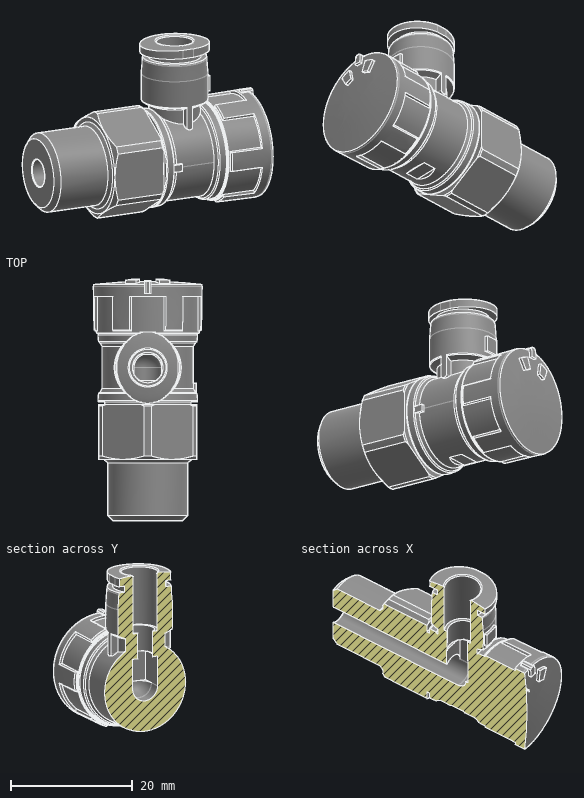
import cadquery as cq
import math


STUD_END_Y = -25.13
STUD_RADIUS = 13.16 / 2
STUD_CHAMFER = 0.87
HEX_SIDES = 6
HEX_FRONT_Y = -15.09
HEX_BACK_Y = -6.09
HEX_ACROSS_FLATS = 16.1
HEX_CORNER_RADIUS = 8.96
HEX_FRONT_FACE_RADIUS = 8.0
HEX_FRONT_CHAMFER_LENGTH = 0.58
HEX_BACK_CHAMFER = 0.22
STUD_ROOT_RADIUS = 7.2
STUD_ROOT_LENGTH = 0.54

NECK_RADIUS = 7.1
BODY_RADIUS = 7.5
BODY_HALF_LENGTH = 3.45
FLANGE_RADIUS = 8.2
FLANGE_EDGE_RADIUS = 8.1
FLANGE_START = 4.25
FLANGE_SHOULDER = 4.05
FLANGE_SHOULDER_RADIUS = 7.85
FLANGE_BREAK = 0.08
FLANGE_BREAK_LENGTH = 0.2
FRONT_FLANGE_END_Y = -5.63
BACK_FLANGE_END_Y = 5.57
RELIEF_FLOOR_Z = -7.2
RELIEF_FLOOR_HALF = 1.2
RELIEF_MOUTH_HALF = 1.65

SKIRT_RADIUS = 16.9 / 2
SKIRT_CHAMFER = 0.12
RIM_RADIUS = 17.89 / 2
RIM_START_Y = 11.69
RIM_BREAK_Y = 13.28
RIM_END_Y = 13.64
RIM_END_RADIUS = 8.87
DOME_TOP_Y = 14.15
GRIP_COUNT = 6
GRIP_TOP_WIDTH = 3.2
GRIP_TOP_X = 8.72
GRIP_FOOT_WIDTH = 3.44
GRIP_FOOT_X = 8.27
GRIP_END_RADIUS = 8.83
GRIP_END_Y = 6.17
GRIP_FOOT_Y = 5.97
GRIP_FOOT_RADIUS = 8.55

POINTER_WIDTH = 1.12
POINTER_CHAMFER = 0.26
POINTER_TOP_Z = 9.33
POINTER_BOTTOM_Z = 7.5
POINTER_START_Y = 12.14
POINTER_TOP_Y = 14.13
POINTER_BOTTOM_Y = 14.3
MARK_INNER_RADIUS = 5.2
MARK_OUTER_RADIUS = 7.3
MARK_START_ANGLE = 15
MARK_END_ANGLE = 30
MARK_TOP_Y = 14.49

OUTLET_STEM_RADIUS = 4.25
OUTLET_STEM_TOP_Z = 8.69
SLEEVE_RADIUS = 11 / 2
SLEEVE_BOTTOM_Z = 9.25
SLEEVE_BREAK_Z = 9.42
SLEEVE_BREAK = 0.1
SLEEVE_TAPER_Z = 13.87
SLEEVE_SHOULDER_Z = 16.45
SLEEVE_SHOULDER_RADIUS = 5.32
SLEEVE_TOP_Z = 16.7
SLEEVE_TOP_RADIUS = 5.25
WEB_THICKNESS = 1.08
WEB_END_FILLET = 0.45
WEB_BOTTOM_Z = 5.5
PAD_WIDTH = 2.6
PAD_BOTTOM_Z = 10.28
PAD_TOP_Z = 12.9
PAD_REACH_Y = 5.87

COLLAR_NECK_RADIUS = 8.72 / 2
COLLAR_BOTTOM_Z = 17.65
COLLAR_EDGE_Z = 18.91
COLLAR_TOP_Z = 19.34
COLLAR_CROWN_RADIUS = 4.6
COLLAR_CROWN_Z = 19.17
COLLAR_SEMI_X = 5.07
COLLAR_SEMI_Y = 5.87
COLLAR_HALF_WIDTH = 5.0

LUG_INNER_X = 7.2
LUG_OUTER_X = 7.97
LUG_END_Y = -2.57
LUG_HALF_HEIGHT = 0.6

CUT_MARGIN = 1.0

FLOW_RADIUS = 4.5 / 2
FLOW_MOUTH_CHAMFER = 0.11
PASSAGE_HALF_Y = 2.13
SEAT_RADIUS = 5 / 2
SEAT_BOTTOM_Z = 5.0
TUBE_RADIUS = 6 / 2
TUBE_BOTTOM_Z = 9.4
TUBE_MOUTH_RADIUS = 3.2
TUBE_MOUTH_DEPTH = 0.2


def turned_about_y(points):
    """Revolve a closed (radius, y) outline about the main axis."""
    return cq.Workplane("XY").polyline(points).close().revolve(360, (0, 0), (0, 1))


def turned_about_z(points):
    """Revolve a closed (radius, z) outline about the outlet axis."""
    return cq.Workplane("XZ").polyline(points).close().revolve(360, (0, 0), (0, 1))


def box(x_range, y_range, z_range):
    """Box spanning the given low and high limits."""
    lows, highs = zip(x_range, y_range, z_range)
    size = [high - low for low, high in zip(lows, highs)]
    return cq.Workplane("XY").box(*size, centered=False).translate(lows)


def make_stud():
    return turned_about_y([
        (0, STUD_END_Y),
        (STUD_RADIUS - STUD_CHAMFER, STUD_END_Y),
        (STUD_RADIUS, STUD_END_Y + STUD_CHAMFER),
        (STUD_RADIUS, HEX_FRONT_Y - STUD_ROOT_LENGTH),
        (STUD_ROOT_RADIUS, HEX_FRONT_Y),
        (0, HEX_FRONT_Y),
    ])


def make_hexagon():
    """Hexagon with flats facing +X and -X, its corners turned down and both ends chamfered."""
    length = HEX_BACK_Y - HEX_FRONT_Y
    across_corners = HEX_ACROSS_FLATS / math.cos(math.pi / HEX_SIDES)
    prism = (
        cq.Workplane("XZ", origin=(0, HEX_BACK_Y, 0))
        .polygon(HEX_SIDES, across_corners)
        .extrude(length)
        .rotate((0, 0, 0), (0, 1, 0), 180 / HEX_SIDES)
    )
    envelope = turned_about_y([
        (0, HEX_FRONT_Y),
        (HEX_FRONT_FACE_RADIUS, HEX_FRONT_Y),
        (HEX_CORNER_RADIUS, HEX_FRONT_Y + HEX_FRONT_CHAMFER_LENGTH),
        (HEX_CORNER_RADIUS, HEX_BACK_Y - HEX_BACK_CHAMFER),
        (HEX_CORNER_RADIUS - HEX_BACK_CHAMFER, HEX_BACK_Y),
        (0, HEX_BACK_Y),
    ])
    return prism.intersect(envelope)


def flange_rise(side):
    """Points climbing from the waist to a flange; side is -1 for the front, +1 for the back."""
    return [
        (BODY_RADIUS, side * BODY_HALF_LENGTH),
        (FLANGE_SHOULDER_RADIUS, side * FLANGE_SHOULDER),
        (FLANGE_EDGE_RADIUS, side * FLANGE_START),
    ]


def make_body():
    body = turned_about_y(
        [
            (0, HEX_BACK_Y),
            (NECK_RADIUS, HEX_BACK_Y),
            (NECK_RADIUS, FRONT_FLANGE_END_Y),
            (FLANGE_RADIUS - FLANGE_BREAK, FRONT_FLANGE_END_Y),
            (FLANGE_RADIUS, FRONT_FLANGE_END_Y + FLANGE_BREAK_LENGTH),
        ]
        + flange_rise(-1)[::-1]
        + flange_rise(1)
        + [
            (FLANGE_RADIUS, BACK_FLANGE_END_Y - FLANGE_BREAK_LENGTH),
            (FLANGE_RADIUS - FLANGE_BREAK, BACK_FLANGE_END_Y),
            (0, BACK_FLANGE_END_Y),
        ]
    )
    slope = (RELIEF_MOUTH_HALF - RELIEF_FLOOR_HALF) / (BODY_RADIUS + RELIEF_FLOOR_Z)
    cut_bottom_z = -FLANGE_RADIUS
    cut_bottom_half = RELIEF_FLOOR_HALF + slope * (RELIEF_FLOOR_Z - cut_bottom_z)
    relief = (
        cq.Workplane("YZ")
        .polyline([
            (-RELIEF_FLOOR_HALF, RELIEF_FLOOR_Z),
            (RELIEF_FLOOR_HALF, RELIEF_FLOOR_Z),
            (cut_bottom_half, cut_bottom_z),
            (-cut_bottom_half, cut_bottom_z),
        ])
        .close()
        .extrude(BODY_RADIUS, both=True)
    )
    return body.cut(relief)


def make_lug():
    return box(
        (LUG_INNER_X, LUG_OUTER_X),
        (-FLANGE_START, LUG_END_Y),
        (-LUG_HALF_HEIGHT, LUG_HALF_HEIGHT),
    )


def dome_drop(radius):
    """Fall of the spherical dome from its crown to the given distance from the axis."""
    sagitta = DOME_TOP_Y - RIM_END_Y
    sphere_radius = (RIM_END_RADIUS ** 2 + sagitta ** 2) / (2 * sagitta)
    return sphere_radius - math.sqrt(sphere_radius ** 2 - radius ** 2)


def make_cap_shell():
    """Solid of revolution touching the grips, the rim and the dome; rim and grips share one cone."""
    middle_radius = RIM_END_RADIUS / 2
    return (
        cq.Workplane("XY")
        .moveTo(0, BACK_FLANGE_END_Y)
        .lineTo(SKIRT_RADIUS - SKIRT_CHAMFER, BACK_FLANGE_END_Y)
        .lineTo(SKIRT_RADIUS, BACK_FLANGE_END_Y + SKIRT_CHAMFER)
        .lineTo(SKIRT_RADIUS, GRIP_FOOT_Y)
        .lineTo(GRIP_FOOT_RADIUS, GRIP_FOOT_Y)
        .lineTo(GRIP_END_RADIUS, GRIP_END_Y)
        .lineTo(RIM_RADIUS, RIM_BREAK_Y)
        .lineTo(RIM_END_RADIUS, RIM_END_Y)
        .threePointArc((middle_radius, DOME_TOP_Y - dome_drop(middle_radius)), (0, DOME_TOP_Y))
        .close()
        .revolve(360, (0, 0), (0, 1))
    )


def make_windows():
    """Shallow recesses that leave six drafted grips standing on the cap skirt."""
    reach = RIM_RADIUS + CUT_MARGIN
    length = RIM_START_Y - BACK_FLANGE_END_Y
    windows = (
        cq.Workplane("XZ", origin=(0, RIM_START_Y, 0))
        .circle(reach)
        .circle(SKIRT_RADIUS)
        .extrude(length)
    )
    top_half = GRIP_TOP_WIDTH / 2
    foot_half = GRIP_FOOT_WIDTH / 2
    grip = (
        cq.Workplane("XZ", origin=(0, RIM_START_Y, 0))
        .polyline([
            (0, -foot_half),
            (GRIP_FOOT_X, -foot_half),
            (GRIP_TOP_X, -top_half),
            (reach, -top_half),
            (reach, top_half),
            (GRIP_TOP_X, top_half),
            (GRIP_FOOT_X, foot_half),
            (0, foot_half),
        ])
        .close()
        .extrude(length)
    )
    for index in range(GRIP_COUNT):
        windows = windows.cut(grip.rotate((0, 0, 0), (0, 1, 0), index * 360 / GRIP_COUNT))
    return windows


def make_pointer():
    """Bar across the top of the cap rim with chamfered long edges."""
    half_width = POINTER_WIDTH / 2
    bar = (
        cq.Workplane("YZ")
        .polyline([
            (POINTER_START_Y, POINTER_BOTTOM_Z),
            (POINTER_START_Y, POINTER_TOP_Z),
            (POINTER_TOP_Y, POINTER_TOP_Z),
            (POINTER_BOTTOM_Y, POINTER_BOTTOM_Z),
        ])
        .close()
        .extrude(half_width, both=True)
    )
    return bar.edges("|Y and >Z").chamfer(POINTER_CHAMFER)


def make_marks():
    """Two raised ring sectors on the dome, one on each side of the pointer."""
    start = math.radians(MARK_START_ANGLE)
    end = math.radians(MARK_END_ANGLE)
    reach = 2 * MARK_OUTER_RADIUS
    sector = (
        cq.Workplane("XZ", origin=(0, MARK_TOP_Y, 0))
        .polyline([
            (0, 0),
            (reach * math.sin(start), reach * math.cos(start)),
            (reach * math.sin(end), reach * math.cos(end)),
        ])
        .close()
        .extrude(MARK_TOP_Y - RIM_START_Y)
    )
    outer_fall = dome_drop(MARK_OUTER_RADIUS) - dome_drop(MARK_INNER_RADIUS)
    ring = turned_about_y([
        (MARK_INNER_RADIUS, RIM_START_Y),
        (MARK_INNER_RADIUS, MARK_TOP_Y),
        (MARK_OUTER_RADIUS, MARK_TOP_Y - outer_fall),
        (MARK_OUTER_RADIUS, RIM_START_Y),
    ])
    mark = ring.intersect(sector)
    return mark.union(mark.mirror("YZ"))


def make_cap():
    cap = make_cap_shell().cut(make_windows())
    return cap.union(make_pointer()).union(make_marks())


def make_stem_undercut():
    """Ring removed below the sleeve to form the stem, leaving two webs with rounded lower ends."""
    ring = turned_about_z([
        (OUTLET_STEM_RADIUS, 0),
        (OUTLET_STEM_RADIUS, OUTLET_STEM_TOP_Z),
        (SLEEVE_RADIUS - SLEEVE_BREAK, SLEEVE_BOTTOM_Z),
        (SLEEVE_RADIUS, SLEEVE_BREAK_Z),
        (SLEEVE_RADIUS + CUT_MARGIN, SLEEVE_BREAK_Z),
        (SLEEVE_RADIUS + CUT_MARGIN, 0),
    ])
    half_web = WEB_THICKNESS / 2
    webs = (
        box(
            (-SLEEVE_RADIUS - CUT_MARGIN, SLEEVE_RADIUS + CUT_MARGIN),
            (-half_web, half_web),
            (WEB_BOTTOM_Z, SLEEVE_TAPER_Z),
        )
        .edges("|X and <Z")
        .fillet(WEB_END_FILLET)
    )
    return ring.cut(webs)


def make_outlet():
    sleeve = turned_about_z([
        (0, 0),
        (SLEEVE_RADIUS, 0),
        (SLEEVE_RADIUS, SLEEVE_TAPER_Z),
        (SLEEVE_SHOULDER_RADIUS, SLEEVE_SHOULDER_Z),
        (SLEEVE_TOP_RADIUS, SLEEVE_TOP_Z),
        (COLLAR_NECK_RADIUS, SLEEVE_TOP_Z),
        (COLLAR_NECK_RADIUS, COLLAR_BOTTOM_Z),
        (0, COLLAR_BOTTOM_Z),
    ])
    pad = box((-PAD_WIDTH / 2, PAD_WIDTH / 2), (0, PAD_REACH_Y), (PAD_BOTTOM_Z, PAD_TOP_Z))
    return sleeve.cut(make_stem_undercut()).union(pad)


def make_collar():
    """Oval release collar: an ellipse with flats at +X and -X and a crowned top."""
    height = COLLAR_TOP_Z - COLLAR_BOTTOM_Z
    oval = (
        cq.Workplane("XY", origin=(0, 0, COLLAR_BOTTOM_Z))
        .ellipse(COLLAR_SEMI_X, COLLAR_SEMI_Y)
        .extrude(height)
    )
    flats = box(
        (-COLLAR_HALF_WIDTH, COLLAR_HALF_WIDTH),
        (-COLLAR_SEMI_Y, COLLAR_SEMI_Y),
        (COLLAR_BOTTOM_Z, COLLAR_TOP_Z),
    )
    crown = (
        cq.Workplane("XZ")
        .moveTo(0, COLLAR_BOTTOM_Z)
        .lineTo(COLLAR_SEMI_Y, COLLAR_BOTTOM_Z)
        .lineTo(COLLAR_SEMI_Y, COLLAR_EDGE_Z)
        .threePointArc((COLLAR_CROWN_RADIUS, COLLAR_CROWN_Z), (TUBE_MOUTH_RADIUS, COLLAR_TOP_Z))
        .lineTo(0, COLLAR_TOP_Z)
        .close()
        .revolve(360, (0, 0), (0, 1))
    )
    return oval.intersect(flats).intersect(crown)


def make_passages():
    """Inlet bore with a ball end, the upright passage, its seat and the tube socket."""
    inlet = turned_about_y([
        (0, STUD_END_Y),
        (FLOW_RADIUS + FLOW_MOUTH_CHAMFER, STUD_END_Y),
        (FLOW_RADIUS, STUD_END_Y + FLOW_MOUTH_CHAMFER),
        (FLOW_RADIUS, 0),
        (0, 0),
    ])
    ball_end = cq.Workplane("XY").sphere(FLOW_RADIUS, angle1=-90, angle2=0)
    passage = box(
        (-FLOW_RADIUS, FLOW_RADIUS),
        (-PASSAGE_HALF_Y, PASSAGE_HALF_Y),
        (0, SEAT_BOTTOM_Z),
    )
    socket = turned_about_z([
        (0, SEAT_BOTTOM_Z),
        (SEAT_RADIUS, SEAT_BOTTOM_Z),
        (SEAT_RADIUS, TUBE_BOTTOM_Z),
        (TUBE_RADIUS, TUBE_BOTTOM_Z),
        (TUBE_RADIUS, COLLAR_TOP_Z - TUBE_MOUTH_DEPTH),
        (TUBE_MOUTH_RADIUS, COLLAR_TOP_Z),
        (0, COLLAR_TOP_Z),
    ])
    return inlet.union(ball_end).union(passage).union(socket)


solids = [make_hexagon(), make_body(), make_lug(), make_cap(), make_outlet(), make_collar()]
fitting = make_stud()
for solid in solids:
    fitting = fitting.union(solid)

result = fitting.cut(make_passages())